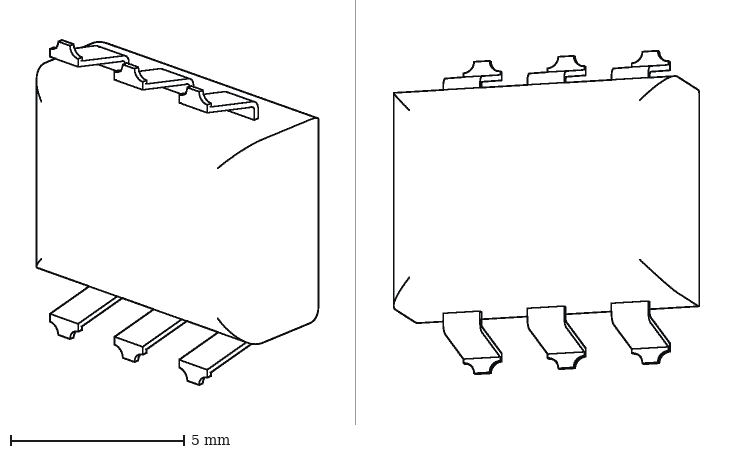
import cadquery as cq
import math

body_width = 8.51
body_depth = 4.0
body_height = 6.36
edge_radius = 1.0

overall_height = 9.16
leads_per_side = 3
lead_pitch = 2.54
lead_width = 1.11
lead_thickness = 0.165
lead_embed = 0.32
foot_overhang = 0.07
foot_length = 0.57
tip_notch_radius = 0.32
arm_angle = 12.0
bend_inner_radius = 0.12


def rounded_bar(plane, width, length):
    """A bar of the body's depth, extruded both ways, with its four long edges rounded."""
    profile = cq.Sketch().rect(width, body_depth).vertices().fillet(edge_radius)
    return cq.Workplane(plane).placeSketch(profile).extrude(length / 2, both=True)


def make_body():
    """Crossing two rounded bars leaves mitred corners where the rounded edges meet."""
    upright_bar = rounded_bar("XY", body_width, body_height)
    lying_plane = cq.Plane(origin=(0, 0, 0), xDir=(0, 0, 1), normal=(-1, 0, 0))
    lying_bar = rounded_bar(lying_plane, body_height, body_width)
    return upright_bar.intersect(lying_bar)


def make_top_lead():
    """One lead: a riser out of the body top, a sloping arm and an upright notched foot."""
    slope = math.tan(math.radians(arm_angle))
    arm_rise = lead_thickness / math.cos(math.radians(arm_angle))

    riser_back = lead_thickness / 2
    riser_front = -riser_back
    foot_front = -body_depth / 2 - foot_overhang
    foot_back = foot_front + lead_thickness
    root_z = body_height / 2 - lead_embed
    tip_z = overall_height / 2
    heel_z = tip_z - foot_length

    def arm_underside(y):
        return heel_z - (y - foot_front) * slope

    def arm_topside(y):
        return arm_underside(y) + arm_rise

    inner_bend = (riser_front, arm_underside(riser_front))
    outer_bend = (riser_back, arm_topside(riser_back))
    strip = (
        cq.Workplane("YZ")
        .polyline([
            (riser_front, root_z),
            inner_bend,
            (foot_front, heel_z),
            (foot_front, tip_z),
            (foot_back, tip_z),
            (foot_back, arm_topside(foot_back)),
            outer_bend,
            (riser_back, root_z),
        ])
        .close()
        .extrude(lead_width / 2, both=True)
    )

    bends = (
        (inner_bend, bend_inner_radius),
        (outer_bend, bend_inner_radius + lead_thickness),
    )
    for (bend_y, bend_z), radius in bends:
        nearest_edge = cq.selectors.NearestToPointSelector((0, bend_y, bend_z))
        strip = strip.edges(nearest_edge).fillet(radius)

    notches = (
        cq.Workplane("XZ", origin=(0, foot_back, 0))
        .pushPoints([(-lead_width / 2, tip_z), (lead_width / 2, tip_z)])
        .circle(tip_notch_radius)
        .extrude(lead_thickness)
    )
    return strip.cut(notches)


top_lead = make_top_lead()
bottom_lead = top_lead.mirror("XY")

result = make_body()
for index in range(leads_per_side):
    lead_x = (index - (leads_per_side - 1) / 2) * lead_pitch
    for lead in (top_lead, bottom_lead):
        result = result.union(lead.translate((lead_x, 0, 0)))